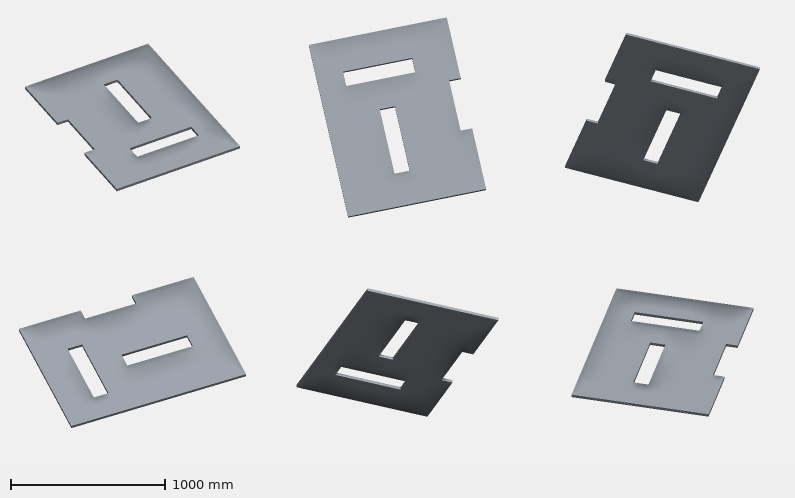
import cadquery as cq

panel_length = 1219.0
panel_width = 915.0
panel_thickness = 20.0

slot_length = 457.0
slot_width = 101.0
slot_center_y = panel_width / 2 + slot_width / 2
long_slot_center_x = 457.0
cross_slot_center_x = 940.0

notch_length = 356.0
notch_depth = 77.0


def through_cutter(size_x, size_y, center_x, center_y):
    """Rectangular block as thick as the panel."""
    block = cq.Workplane("XY").box(size_x, size_y, panel_thickness, centered=(True, True, False))
    return block.translate((center_x, center_y, 0))


panel = cq.Workplane("XY").box(panel_length, panel_width, panel_thickness, centered=False)
long_slot = through_cutter(slot_length, slot_width, long_slot_center_x, slot_center_y)
cross_slot = through_cutter(slot_width, slot_length, cross_slot_center_x, slot_center_y)
notch = through_cutter(notch_length, notch_depth, panel_length / 2, notch_depth / 2)

result = panel.cut(long_slot).cut(cross_slot).cut(notch)